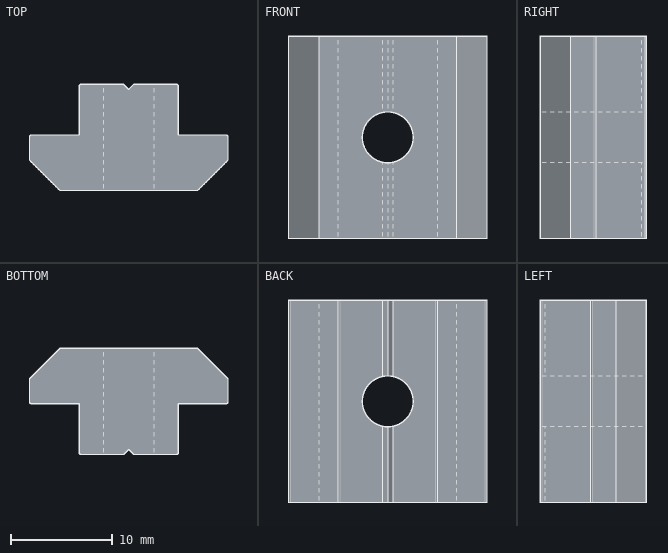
import cadquery as cq

length = 20.0
flange_width = 19.6
total_depth = 10.5

neck_width = 9.8
neck_depth = 5.0
bevel = 3.0
corner_radius = 0.2
notch_depth = 0.5

hole_diameter = 5.0

half_flange = flange_width / 2
half_neck = neck_width / 2
shoulder_y = total_depth - neck_depth


def make_body():
    """T-shaped section with beveled front edges, extruded along Z."""
    body = (
        cq.Workplane("XY")
        .moveTo(-half_flange + bevel, 0)
        .lineTo(half_flange - bevel, 0)
        .lineTo(half_flange, bevel)
        .lineTo(half_flange, shoulder_y)
        .lineTo(half_neck, shoulder_y)
        .lineTo(half_neck, total_depth)
        .lineTo(-half_neck, total_depth)
        .lineTo(-half_neck, shoulder_y)
        .lineTo(-half_flange, shoulder_y)
        .lineTo(-half_flange, bevel)
        .close()
        .extrude(length)
    )
    outer_corners = [
        (side * half_width, y, length / 2)
        for half_width, y in ((half_flange, shoulder_y), (half_neck, total_depth))
        for side in (-1, 1)
    ]
    for corner in outer_corners:
        body = body.edges(cq.selectors.NearestToPointSelector(corner)).fillet(corner_radius)
    return body


def make_notch():
    """V groove running the full length of the neck's back face."""
    return (
        cq.Workplane("XY")
        .moveTo(-notch_depth, total_depth)
        .lineTo(0, total_depth - notch_depth)
        .lineTo(notch_depth, total_depth)
        .close()
        .extrude(length)
    )


def make_hole():
    """Through hole along Y at the center of the front face."""
    return (
        cq.Workplane("XZ", origin=(0, 0, length / 2))
        .circle(hole_diameter / 2)
        .extrude(-total_depth)
    )


result = make_body().cut(make_notch()).cut(make_hole())